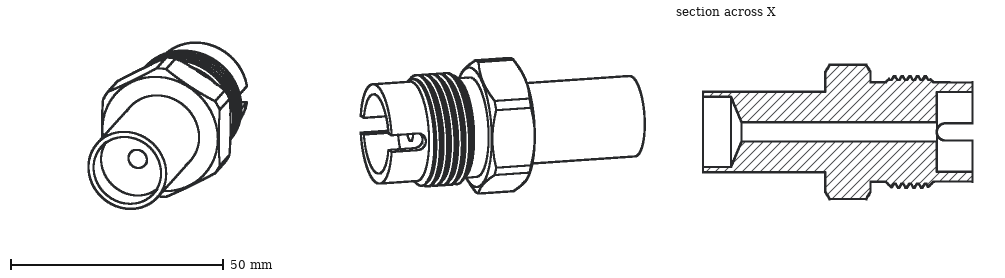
import cadquery as cq
import math

total_length = 63.5
tube_length = 28.8
hex_length = 10.7
neck_length = 3.57
thread_length = 11.2

tube_diameter = 19.05
body_diameter = 23.5
thread_major_diameter = 26.4

hex_across_flats = 28.575
hex_across_corners = 31.75
hex_face_diameter = 28.2
hex_chamfer_angle = 30
hex_half_sector = 30

thread_pitch = 25.4 / 14
thread_root_diameter = 24.5
thread_root_flat = 0.4
thread_crest_flat = 0.3
groove_lead_in = 0.2
groove_clearance = 0.2

tube_bore_diameter = 16.5
tube_bore_depth = 6.6
tube_bore_cone_angle = 135
through_hole_diameter = 4.5
end_bore_diameter = 18.7

slot_width = 4.0
slot_depth = 8.43
end_bore_depth = slot_depth

hex_end = tube_length + hex_length
thread_start = hex_end + neck_length
thread_end = thread_start + thread_length


def revolve_about_y(points):
    """Solid of revolution about Y from a closed (radius, Y) outline."""
    return cq.Workplane("XY").polyline(points).close().revolve(360, (0, 0, 0), (0, 1, 0))


def cylinder(diameter, start, end):
    """Cylinder on the Y axis between two Y positions."""
    radius = diameter / 2
    return revolve_about_y([(0, start), (radius, start), (radius, end), (0, end)])


def hexagon():
    """Hexagon with flats facing +X and -X, turned corners and chamfered faces."""
    point_to_point = hex_across_flats / math.cos(math.radians(hex_half_sector))
    prism = (
        cq.Workplane("XZ", origin=(0, hex_end, 0))
        .transformed(rotate=(0, 0, hex_half_sector))
        .polygon(6, point_to_point)
        .extrude(hex_length)
    )
    face_radius = hex_face_diameter / 2
    corner_radius = hex_across_corners / 2
    chamfer = (corner_radius - face_radius) * math.tan(math.radians(hex_chamfer_angle))
    turned_blank = revolve_about_y([
        (0, tube_length),
        (face_radius, tube_length),
        (corner_radius, tube_length + chamfer),
        (corner_radius, hex_end - chamfer),
        (face_radius, hex_end),
        (0, hex_end),
    ])
    return prism.intersect(turned_blank)


def thread_blank():
    """Thread cylinder with 45 degree chamfers down to the body diameter."""
    body_radius = body_diameter / 2
    major_radius = thread_major_diameter / 2
    chamfer = major_radius - body_radius
    return revolve_about_y([
        (0, thread_start),
        (body_radius, thread_start),
        (major_radius, thread_start + chamfer),
        (major_radius, thread_end - chamfer),
        (body_radius, thread_end),
        (0, thread_end),
    ])


def thread_groove():
    """Helical V groove, widened outward past the crest so that it cuts cleanly."""
    root_radius = thread_root_diameter / 2
    depth = thread_major_diameter / 2 - root_radius
    root_half = thread_root_flat / 2
    crest_half = (thread_pitch - thread_crest_flat) / 2
    outer_half = crest_half + (crest_half - root_half) * groove_clearance / depth
    outer_radius = root_radius + depth + groove_clearance
    groove_length = thread_length + 2 * groove_lead_in
    helix = cq.Wire.makeHelix(thread_pitch, groove_length, root_radius)
    groove = (
        cq.Workplane("XZ")
        .polyline([
            (root_radius, -root_half),
            (outer_radius, -outer_half),
            (outer_radius, outer_half),
            (root_radius, root_half),
        ])
        .close()
        .sweep(cq.Workplane(helix), isFrenet=True)
    )
    laid_down = groove.rotate((0, 0, 0), (1, 0, 0), -90)
    return laid_down.translate((0, thread_start - groove_lead_in, 0))


def external_thread():
    """Thread blank with the helical groove cut into it."""
    turned_blank = thread_blank().rotate((0, 0, 0), (0, 1, 0), 90)
    return turned_blank.cut(thread_groove())


def tube_bore():
    """Bore from the tube end with a conical bottom."""
    radius = tube_bore_diameter / 2
    point_depth = radius / math.tan(math.radians(tube_bore_cone_angle / 2))
    return revolve_about_y([
        (0, 0),
        (radius, 0),
        (radius, tube_bore_depth),
        (0, tube_bore_depth + point_depth),
    ])


def cross_slot():
    """Round-bottomed slot along X, open at the threaded end."""
    half_width = slot_width / 2
    bottom = total_length - slot_depth
    return (
        cq.Workplane("YZ")
        .moveTo(total_length, -half_width)
        .lineTo(bottom + half_width, -half_width)
        .threePointArc((bottom, 0), (bottom + half_width, half_width))
        .lineTo(total_length, half_width)
        .close()
        .extrude(body_diameter, both=True)
    )


outside = (
    cylinder(tube_diameter, 0, tube_length)
    .union(hexagon())
    .union(cylinder(body_diameter, hex_end, total_length))
    .union(external_thread())
)
result = (
    outside
    .cut(tube_bore())
    .cut(cylinder(through_hole_diameter, 0, total_length))
    .cut(cylinder(end_bore_diameter, total_length - end_bore_depth, total_length))
    .cut(cross_slot())
)